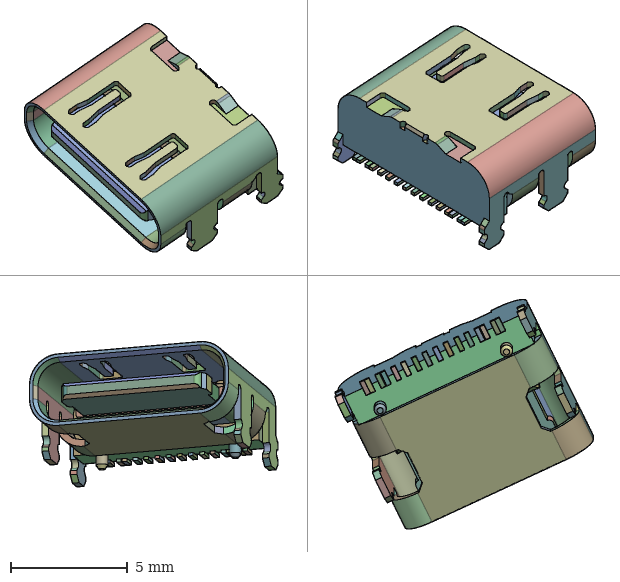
import cadquery as cq
import math

WIDTH = 8.94
HEIGHT = 3.17
SHELL_LENGTH = 6.59
OVERALL_LENGTH = 6.9
CORNER_RADIUS = 1.29
WALL = 0.3
MOUTH_BEVEL = 0.15
MOUTH_BEVEL_DEPTH = 0.26
MID_HEIGHT = HEIGHT / 2
INNER_TOP = HEIGHT - WALL
INNER_HALF_WIDTH = WIDTH / 2 - WALL

LEG_BOTTOM = -0.885
LEG_SIDE_TOP = 1.88
LEG_WIDTH = 1.48
FRONT_LEG_CENTER = 2.47
REAR_LEG_FRONT = 5.67
LEG_TIP_CHAMFER = 0.295
LEG_NECK_TOP = 0.08
LEG_NECK_BOTTOM = -0.41
LEG_NECK_DEPTH = 0.21
LEG_NECK_MIDDLE = -0.16
LEG_NECK_ARC_END = -0.29
REAR_LEG_SHOULDER_TOP = 0.66
REAR_LEG_SHOULDER_BOTTOM = 0.3
REAR_LEG_SHOULDER_RUN = 0.22
SIDE_SLOT_WIDTH = 0.3
SIDE_SLOT_TOP = 1.565
REAR_SLOT_TOP = 1.59
LEG_OPENING_HALF_GAP = 2.82
REAR_OPENING_FRONT = 5.14

HOUSING_FRONT = 5.185
HOUSING_BOTTOM = 0.1
TONGUE_TIP = 0.215
TONGUE_WIDTH = 6.51
TONGUE_TIP_WIDTH = 6.2
TONGUE_THICKNESS = 0.7
TONGUE_CORNER_RADIUS = 0.25
TONGUE_CHAMFER = 0.16
TONGUE_FLARE_END = 0.72
LATCH_RECESS_FRONT = 1.42
LATCH_RECESS_DEPTH = 0.2
BASE_WIDTH = 6.78
BASE_HEIGHT = 1.28
BASE_CORNER_RADIUS = 0.46
BASE_TAB_LENGTH = 0.09
BASE_TAB_HEIGHT = 0.16
BASE_FRONT = 3.09
BASE_FRONT_HEIGHT = 0.805
BASE_SHOULDER_Y = 3.32
BASE_SHOULDER_HEIGHT = 1.17
BASE_FULL_HEIGHT_Y = 3.4
RELIEF_WIDTH = 1.02
RELIEF_TIP_HALF_WIDTH = 0.215
RELIEF_TIP_RISE = 0.11
RELIEF_HEIGHT = 0.46
RELIEF_DEPTH = 0.18
TOP_RELIEF_X = 1.8
BOTTOM_RELIEF_X = 1.55

PIN_DIAMETER = 0.52
PIN_TIP_DIAMETER = 0.26
PIN_X = 2.995
PIN_Y = 5.52
PIN_BOTTOM = -0.51
PIN_TAPER = 0.17

TAIL_X = (0.25, 0.75, 1.26, 1.73, 2.23, 2.48, 2.98, 3.2)
TAIL_WIDTH = 0.215
TAIL_THICKNESS = 0.15
TAIL_BOTTOM = -0.04
TAIL_ROOT = 6.26

FINGER_X = 1.87
FINGER_TIP = 3.075
FINGER_TIP_HALF_WIDTH = 0.21
FINGER_ROOT_HALF_WIDTH = 0.31
FINGER_SLOT_REAR = 3.4
FINGER_SLOT_WIDTH = 0.31
FINGER_SLOT_FRONT = 0.71
FINGER_BEND_REAR = 1.75
FINGER_BEND_FRONT = 1.13
FINGER_CORNER_RADIUS = 0.125

TAB_NOTCH_OUTER_X = 2.78
TAB_NOTCH_INNER_X = 1.08
TAB_NOTCH_FRONT = 5.59
TAB_FRONT = 5.89
TAB_TIP_X = 1.9
TAB_BEND_START_X = 1.26
TAB_BEND_END_X = 1.395
TAB_BEND_DROP = 0.03
TAB_FLOOR = 2.91

LIP_NOTCH_HALF_WIDTH = 0.8
LIP_HALF_WIDTH = 0.53
LIP_NOTCH_DEPTH = 0.17
LIP_BEVEL = 0.125


def rounded_block(inset, depth, start=0.0):
    """Shell outline shrunk by inset, extruded along +Y from start."""
    return (
        cq.Workplane("XZ", origin=(0, start, MID_HEIGHT))
        .rect(WIDTH - 2 * inset, HEIGHT - 2 * inset)
        .extrude(-depth)
        .edges("|Y")
        .fillet(CORNER_RADIUS - inset)
    )


def box(x_range, y_range, z_range):
    """Axis-aligned block given by its limits."""
    limits = (x_range, y_range, z_range)
    size = [high - low for low, high in limits]
    corner = [low for low, high in limits]
    return cq.Workplane().box(*size, centered=False).translate(tuple(corner))


def both_sides(body):
    """The body together with its mirror image across X = 0."""
    return body.union(body.mirror("YZ"))


def make_tube():
    """Open shell tube with a bevelled mouth."""
    bevel_inset = WALL - MOUTH_BEVEL
    bevel_angle = math.degrees(math.atan2(MOUTH_BEVEL, MOUTH_BEVEL_DEPTH))
    mouth = (
        cq.Workplane("XZ", origin=(0, 0, MID_HEIGHT))
        .sketch()
        .rect(WIDTH - 2 * bevel_inset, HEIGHT - 2 * bevel_inset)
        .vertices()
        .fillet(CORNER_RADIUS - bevel_inset)
        .finalize()
        .extrude(-MOUTH_BEVEL_DEPTH, taper=bevel_angle)
    )
    return rounded_block(0, SHELL_LENGTH).cut(rounded_block(WALL, SHELL_LENGTH)).cut(mouth)


def side_openings():
    """Material missing from both lower corners around the legs."""
    leg_half = LEG_WIDTH / 2
    half_opening = leg_half + SIDE_SLOT_WIDTH
    slot_end_x = -LEG_OPENING_HALF_GAP - SIDE_SLOT_WIDTH
    slot_round = SIDE_SLOT_WIDTH / 2
    front = (
        cq.Workplane("XY", origin=(0, FRONT_LEG_CENTER, 0))
        .moveTo(-WIDTH / 2, -half_opening)
        .lineTo(slot_end_x, -half_opening)
        .lineTo(-LEG_OPENING_HALF_GAP, -leg_half)
        .lineTo(-LEG_OPENING_HALF_GAP, leg_half)
        .lineTo(slot_end_x, half_opening)
        .lineTo(-WIDTH / 2, half_opening)
        .close()
        .extrude(CORNER_RADIUS)
    )
    slot = (
        cq.Workplane("YZ", origin=(-WIDTH / 2, FRONT_LEG_CENTER, 0))
        .pushPoints([(-leg_half - slot_round, CORNER_RADIUS), (leg_half + slot_round, CORNER_RADIUS)])
        .slot2D(2 * (SIDE_SLOT_TOP - CORNER_RADIUS), SIDE_SLOT_WIDTH, 90)
        .extrude(WALL)
    )
    rear_round_z = REAR_SLOT_TOP - slot_round
    rear = (
        cq.Workplane("YZ", origin=(-WIDTH / 2, 0, 0))
        .moveTo(REAR_OPENING_FRONT, 0)
        .lineTo(REAR_OPENING_FRONT, CORNER_RADIUS)
        .lineTo(REAR_LEG_FRONT - SIDE_SLOT_WIDTH, rear_round_z)
        .threePointArc((REAR_LEG_FRONT - slot_round, REAR_SLOT_TOP), (REAR_LEG_FRONT, rear_round_z))
        .lineTo(SHELL_LENGTH, rear_round_z)
        .lineTo(SHELL_LENGTH, 0)
        .close()
        .extrude(WIDTH / 2)
    )
    return both_sides(front.union(slot).union(rear))


def leg_edge(y, inward):
    """Points down one necked edge of a leg; inward is +1 or -1 along Y."""
    neck_y = y + inward * LEG_NECK_DEPTH
    arc_end_y = y + inward * (LEG_NECK_ARC_END - LEG_NECK_BOTTOM)
    return (y, LEG_NECK_TOP), (neck_y, LEG_NECK_MIDDLE), (arc_end_y, LEG_NECK_ARC_END), (y, LEG_NECK_BOTTOM)


def leg_outline(front_y, rear_y):
    """Leg outline from the top of its front edge to the top of its rear neck."""
    tip_top = LEG_BOTTOM + LEG_TIP_CHAMFER
    front_top, front_neck, front_arc_end, front_bottom = leg_edge(front_y, 1)
    rear_top, rear_neck, rear_arc_end, rear_bottom = leg_edge(rear_y, -1)
    return (
        cq.Workplane("YZ", origin=(-WIDTH / 2, 0, 0))
        .moveTo(front_y, LEG_SIDE_TOP)
        .lineTo(*front_top)
        .threePointArc(front_neck, front_arc_end)
        .lineTo(*front_bottom)
        .lineTo(front_y, tip_top)
        .lineTo(front_y + LEG_TIP_CHAMFER, LEG_BOTTOM)
        .lineTo(rear_y - LEG_TIP_CHAMFER, LEG_BOTTOM)
        .lineTo(rear_y, tip_top)
        .lineTo(*rear_bottom)
        .lineTo(*rear_arc_end)
        .threePointArc(rear_neck, rear_top)
    )


def make_legs():
    front_y = FRONT_LEG_CENTER - LEG_WIDTH / 2
    rear_y = FRONT_LEG_CENTER + LEG_WIDTH / 2
    front_leg = leg_outline(front_y, rear_y).lineTo(rear_y, LEG_SIDE_TOP).close().extrude(WALL)
    shoulder_bend = (SHELL_LENGTH + REAR_LEG_SHOULDER_RUN, REAR_LEG_SHOULDER_TOP - REAR_LEG_SHOULDER_RUN)
    rear_leg = (
        leg_outline(REAR_LEG_FRONT, OVERALL_LENGTH)
        .lineTo(OVERALL_LENGTH, REAR_LEG_SHOULDER_BOTTOM)
        .tangentArcPoint(shoulder_bend, relative=False)
        .lineTo(SHELL_LENGTH, REAR_LEG_SHOULDER_TOP)
        .lineTo(SHELL_LENGTH, LEG_SIDE_TOP)
        .close()
        .extrude(WALL)
    )
    return both_sides(front_leg.union(rear_leg))


def finger_slot():
    """U-shaped slot that frees one spring finger, splayed towards its root."""
    tip = FINGER_TIP_HALF_WIDTH
    root = FINGER_ROOT_HALF_WIDTH
    gap = FINGER_SLOT_WIDTH
    end_y = FINGER_SLOT_FRONT + gap / 2
    slot = (
        cq.Workplane("XY", origin=(FINGER_X, 0, INNER_TOP))
        .moveTo(-root - gap, end_y)
        .lineTo(-root - gap, FINGER_BEND_FRONT + gap / 2)
        .lineTo(-tip - gap, FINGER_BEND_REAR)
        .lineTo(-tip - gap, FINGER_SLOT_REAR)
        .lineTo(tip + gap, FINGER_SLOT_REAR)
        .lineTo(tip + gap, FINGER_BEND_REAR)
        .lineTo(root + gap, FINGER_BEND_FRONT + gap / 2)
        .lineTo(root + gap, end_y)
        .threePointArc((root + gap / 2, FINGER_SLOT_FRONT), (root, end_y))
        .lineTo(root, FINGER_BEND_FRONT)
        .lineTo(tip, FINGER_BEND_REAR)
        .lineTo(tip, FINGER_TIP)
        .lineTo(-tip, FINGER_TIP)
        .lineTo(-tip, FINGER_BEND_REAR)
        .lineTo(-root, FINGER_BEND_FRONT)
        .lineTo(-root, end_y)
        .threePointArc((-root - gap / 2, FINGER_SLOT_FRONT), (-root - gap, end_y))
        .close()
        .extrude(WALL)
    )
    margin = FINGER_CORNER_RADIUS / 2
    tip_region = cq.selectors.BoxSelector(
        (FINGER_X - tip - gap - margin, FINGER_TIP - margin, INNER_TOP),
        (FINGER_X + tip + gap + margin, FINGER_SLOT_REAR + margin, HEIGHT),
    )
    return slot.edges("|Z").edges(tip_region).fillet(FINGER_CORNER_RADIUS)


def retaining_tab_notch():
    """L-shaped notch in the rear edge of the top wall, on the +X side."""
    slot_width = TAB_FRONT - TAB_NOTCH_FRONT
    notch = box((TAB_TIP_X, TAB_NOTCH_OUTER_X), (TAB_NOTCH_FRONT, SHELL_LENGTH), (TAB_FLOOR, HEIGHT))
    notch = notch.edges("|Z and >X and <Y").fillet(slot_width / 2)
    slot_x = (TAB_NOTCH_INNER_X + TAB_NOTCH_OUTER_X) / 2
    slot = (
        cq.Workplane("XY", origin=(slot_x, TAB_FRONT - slot_width / 2, TAB_FLOOR))
        .slot2D(TAB_NOTCH_OUTER_X - TAB_NOTCH_INNER_X, slot_width)
        .extrude(HEIGHT - TAB_FLOOR)
    )
    bend_end = (TAB_BEND_END_X, HEIGHT - TAB_BEND_DROP)
    bend_middle = ((TAB_BEND_START_X + TAB_BEND_END_X) / 2, HEIGHT - TAB_BEND_DROP / 4)
    slope = (
        cq.Workplane("XZ", origin=(0, TAB_FRONT, 0))
        .moveTo(TAB_TIP_X, HEIGHT)
        .lineTo(TAB_BEND_START_X, HEIGHT)
        .threePointArc(bend_middle, bend_end)
        .lineTo(TAB_TIP_X, TAB_FLOOR)
        .close()
        .extrude(TAB_FRONT - SHELL_LENGTH)
    )
    return notch.union(slot).union(slope)


def rear_lip_notch():
    """Relief notch beside the middle lip, with the bevel on half of the lip."""
    relief = box(
        (LIP_HALF_WIDTH, LIP_NOTCH_HALF_WIDTH),
        (SHELL_LENGTH - LIP_NOTCH_DEPTH, SHELL_LENGTH),
        (INNER_TOP, HEIGHT),
    )
    relief = relief.edges("|Z and <Y").fillet(LIP_BEVEL)
    bevel = (
        cq.Workplane("YZ")
        .moveTo(SHELL_LENGTH - LIP_BEVEL, HEIGHT)
        .lineTo(SHELL_LENGTH, HEIGHT - LIP_BEVEL)
        .lineTo(SHELL_LENGTH, HEIGHT)
        .close()
        .extrude(LIP_HALF_WIDTH)
    )
    return relief.union(bevel)


def wall_relief(x, edge_z, direction):
    """Tapered, round-tipped pocket in the front wall of the housing."""
    tip_z = edge_z + direction * RELIEF_HEIGHT
    shoulder_z = tip_z - direction * RELIEF_TIP_RISE
    return (
        cq.Workplane("XZ", origin=(x, HOUSING_FRONT, 0))
        .moveTo(-RELIEF_WIDTH / 2, edge_z)
        .lineTo(-RELIEF_TIP_HALF_WIDTH, shoulder_z)
        .threePointArc((0, tip_z), (RELIEF_TIP_HALF_WIDTH, shoulder_z))
        .lineTo(RELIEF_WIDTH / 2, edge_z)
        .close()
        .extrude(-RELIEF_DEPTH)
    )


def make_housing():
    depth = SHELL_LENGTH - HOUSING_FRONT
    body = rounded_block(WALL, depth, HOUSING_FRONT)
    ears = box(
        (-INNER_HALF_WIDTH, INNER_HALF_WIDTH), (HOUSING_FRONT, SHELL_LENGTH), (HOUSING_BOTTOM, MID_HEIGHT)
    )
    reliefs = wall_relief(TOP_RELIEF_X, INNER_TOP, -1).union(wall_relief(BOTTOM_RELIEF_X, WALL, 1))
    return body.union(ears).cut(both_sides(reliefs))


def symmetric_profile(upper, half_width):
    """Bar along X whose YZ profile mirrors the upper points about mid height."""
    lower = [(y, -z) for y, z in reversed(upper)]
    return (
        cq.Workplane("YZ", origin=(0, 0, MID_HEIGHT))
        .polyline([*upper, *lower])
        .close()
        .extrude(half_width, both=True)
    )


def make_base():
    """Thick root of the tongue, sloping down to the blade at its front."""
    section = cq.Workplane("XZ", origin=(0, BASE_FRONT, MID_HEIGHT)).rect(BASE_WIDTH, BASE_HEIGHT)
    bar = section.extrude(BASE_FRONT - HOUSING_FRONT).edges("|Y").fillet(BASE_CORNER_RADIUS)
    upper = (
        (BASE_FRONT, BASE_FRONT_HEIGHT / 2),
        (BASE_SHOULDER_Y, BASE_SHOULDER_HEIGHT / 2),
        (BASE_FULL_HEIGHT_Y, BASE_HEIGHT / 2),
        (HOUSING_FRONT, BASE_HEIGHT / 2),
    )
    tab = box(
        (TONGUE_WIDTH / 2, BASE_WIDTH / 2),
        (BASE_FRONT - BASE_TAB_LENGTH, BASE_FRONT),
        (MID_HEIGHT - BASE_TAB_HEIGHT / 2, MID_HEIGHT + BASE_TAB_HEIGHT / 2),
    )
    bar = bar.intersect(symmetric_profile(upper, BASE_WIDTH / 2))
    return bar.union(both_sides(tab))


def make_blade():
    """Thin tongue blade with a rounded, flared tip and a latch recess in each side."""
    tip_x = TONGUE_TIP_WIDTH / 2
    side_x = TONGUE_WIDTH / 2
    radius = TONGUE_CORNER_RADIUS
    arc_mid = radius * (1 - math.sqrt(0.5))
    corner_y = TONGUE_TIP + radius
    blade = (
        cq.Workplane("XY", origin=(0, 0, MID_HEIGHT - TONGUE_THICKNESS / 2))
        .moveTo(-tip_x + radius, TONGUE_TIP)
        .lineTo(tip_x - radius, TONGUE_TIP)
        .threePointArc((tip_x - arc_mid, TONGUE_TIP + arc_mid), (tip_x, corner_y))
        .lineTo(side_x, TONGUE_FLARE_END)
        .lineTo(side_x, HOUSING_FRONT)
        .lineTo(-side_x, HOUSING_FRONT)
        .lineTo(-side_x, TONGUE_FLARE_END)
        .lineTo(-tip_x, corner_y)
        .threePointArc((-tip_x + arc_mid, TONGUE_TIP + arc_mid), (-tip_x + radius, TONGUE_TIP))
        .close()
        .extrude(TONGUE_THICKNESS)
    )
    half_thick = TONGUE_THICKNESS / 2
    upper = (
        (TONGUE_TIP, half_thick - TONGUE_CHAMFER),
        (TONGUE_TIP + TONGUE_CHAMFER, half_thick),
        (HOUSING_FRONT, half_thick),
    )
    blade = blade.intersect(symmetric_profile(upper, side_x))

    recess_x = side_x - LATCH_RECESS_DEPTH
    recess = (
        cq.Workplane("XY")
        .moveTo(side_x, LATCH_RECESS_FRONT)
        .radiusArc((recess_x, LATCH_RECESS_FRONT + LATCH_RECESS_DEPTH), -LATCH_RECESS_DEPTH)
        .lineTo(recess_x, BASE_FRONT)
        .lineTo(side_x, BASE_FRONT)
        .close()
        .extrude(HEIGHT)
    )
    return blade.cut(both_sides(recess))


def make_pins():
    pin = (
        cq.Workplane("XY", origin=(PIN_X, PIN_Y, PIN_BOTTOM))
        .circle(PIN_DIAMETER / 2)
        .extrude(HOUSING_BOTTOM - PIN_BOTTOM)
        .faces("<Z")
        .chamfer(PIN_TAPER, (PIN_DIAMETER - PIN_TIP_DIAMETER) / 2)
    )
    return both_sides(pin)


def make_tail(x):
    return box(
        (x - TAIL_WIDTH / 2, x + TAIL_WIDTH / 2),
        (TAIL_ROOT, OVERALL_LENGTH),
        (TAIL_BOTTOM, TAIL_BOTTOM + TAIL_THICKNESS),
    )


shell = make_tube().cut(side_openings()).union(make_legs())
shell = shell.cut(both_sides(finger_slot()))
body = shell.union(make_housing()).union(make_base()).union(make_blade())
body = body.cut(both_sides(retaining_tab_notch().union(rear_lip_notch())))
body = body.union(make_pins())
for tail_x in TAIL_X:
    body = body.union(both_sides(make_tail(tail_x)))
result = body